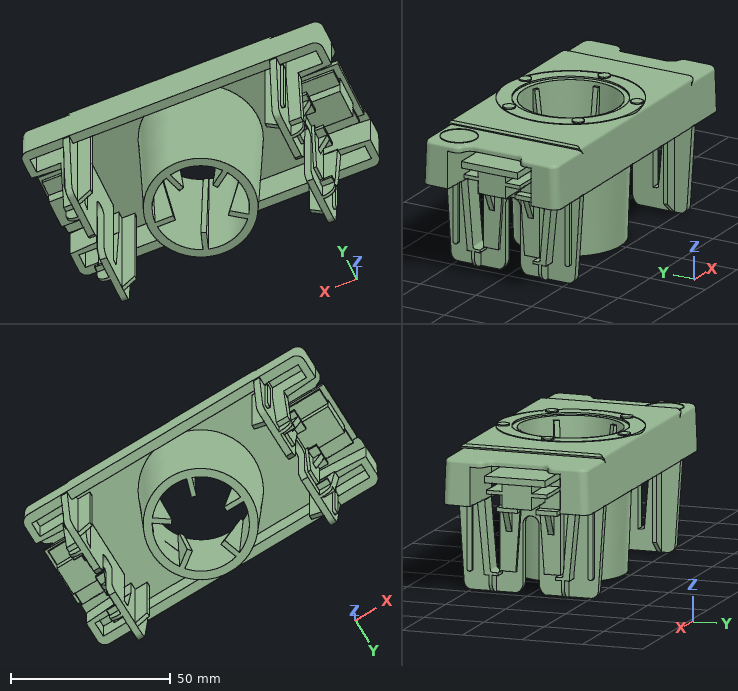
import cadquery as cq

length = 103.0
base_width = 49.0
roof_width = 47.8
roof_top = 14.9
ceiling = 12.7
wall = 2.5
corner_radius = 2.9
roof_fillet = 1.3
foot_z = -30.0

notch_depth = 3.9
notch_half_floor = 9.6
notch_half_mouth = 10.9
notch_radius = 2.7

panel_top = 16.4
panel_tip_z = 15.6
panel_root_z = 13.4
panel_half_top = 35.5
panel_half_tip = 35.9
panel_half_root = 34.2
panel_fillet = 1.6

ring_diameter = 47.0
ring_top = 16.6
button_diameter = 4.0
button_top = 17.0
button_circle_radius = 21.2
fin_count = 5
label_diameter = 12.0
label_depth = 0.2
label_x = -42.8
label_y = 15.9

tube_radius_root = 19.2
tube_radius_foot = 18.0
rim_diameter = 37.0
rim_depth = 0.5
bore_radius_top = 16.8
bore_radius_foot = 15.2
fin_thickness = 1.8
fin_top_radius = 15.8
fin_foot_radius = 9.1
fin_top_z = 14.7

leg_outer_x = -40.7
plate_outer_x = -36.6
plate_inner_x = -34.3
leg_inner_x = -29.9
plate_half_root = 24.2
plate_half_foot = 22.2
plate_corner_radius = 2.6
stiffener_y = 16.5
stiffener_thickness = 1.3
stiffener_chamfer_z = -26.0
bead_height = 1.0
bead_y = 20.2
bead_width = 1.8
bead_foot_z = -24.0
toe_y = 12.0
toe_thickness = 1.0
toe_radius = 3.8

cheek_half_root = 16.5
cheek_half_foot = 14.2
cheek_inner_half = 9.6
cheek_taper_end_z = -23.3
cheek_foot_z = -24.0
opening_half_mouth = 15.0
opening_half_root = 14.0
opening_half_foot = 12.0
opening_foot_z = -23.1
opening_fillet = 0.9

tongue_half = 10.1
grip_top = 10.2
grip_thickness = 2.2
block_half = 4.9
block_x = -50.0
lug_top = 5.4
lug_thickness = 1.2
shelf_top = -2.0
shelf_thickness = 1.5
gusset_y = 7.0
gusset_width = 1.9
gusset_foot_z = -10.2
pad_height = 1.0
pad_inner_root = 3.1
pad_inner_foot = 4.7
arch_half = 2.7
arch_top = -4.9
arch_flare_half = 4.6
arch_flare_z = -26.7
arch_flare_radius = 3.8


def block(x0, x1, y0, y1, z0, z1):
    """Axis-aligned box between two opposite corners."""
    return cq.Workplane("XY").box(x1 - x0, y1 - y0, z1 - z0, centered=False).translate((x0, y0, z0))


def across_x(points, x0, x1):
    """Prism of a (y, z) outline between two X positions."""
    return cq.Workplane("YZ").workplane(offset=x0).polyline(points).close().extrude(x1 - x0)


def across_y(points, y_mid, thickness):
    """Prism of an (x, z) outline, centred on a Y position."""
    prism = cq.Workplane("XZ").polyline(points).close().extrude(thickness / 2, both=True)
    return prism.translate((0, y_mid, 0))


def both_sides(solid):
    """The solid together with its mirror image in Y."""
    return solid.union(solid.mirror("XZ"))


def half_width(z):
    """Half the distance between the leaning long sides at height z."""
    return base_width / 2 - (base_width - roof_width) / 2 * z / roof_top


def leaning_prism(half_length, z0, z1):
    """Prism along X between the leaning long sides, from height z0 up to z1."""
    profile = [
        (-half_width(z0), z0),
        (-half_width(z1), z1),
        (half_width(z1), z1),
        (half_width(z0), z0),
    ]
    return across_x(profile, -half_length, half_length)


def make_notch():
    """Grip notch through the roof at the -X end."""
    outer_x = -length / 2
    floor_x = outer_x + notch_depth
    outline = [
        (outer_x, -notch_half_mouth),
        (floor_x, -notch_half_floor),
        (floor_x, notch_half_floor),
        (outer_x, notch_half_mouth),
    ]
    return cq.Workplane("XY").polyline(outline).close().extrude(roof_top)


def make_housing():
    """Hollow box with drafted sides, raised panel and label recess."""
    shell = leaning_prism(length / 2, 0, roof_top)
    upright_edges = shell.edges("(not |X) and (not |Y)")
    shell = upright_edges.fillet(corner_radius)
    notch = make_notch()
    shell = shell.cut(notch).cut(notch.mirror("YZ"))
    shell = shell.edges("|Z").fillet(notch_radius)
    shell = shell.faces(">Z").edges().fillet(roof_fillet)
    panel_side = [
        (panel_half_root, panel_root_z),
        (panel_half_tip, panel_tip_z),
        (panel_half_top, panel_top),
    ]
    panel_profile = panel_side + [(-x, z) for x, z in reversed(panel_side)]
    panel = across_y(panel_profile, 0, base_width)
    panel = panel.intersect(leaning_prism(panel_half_tip, panel_root_z, panel_top))
    panel = panel.faces(">Z").edges("|X").fillet(panel_fillet)
    label = cq.Workplane("XY").workplane(offset=roof_top - label_depth)
    label = label.center(label_x, label_y).circle(label_diameter / 2).extrude(label_depth)
    half_x = length / 2 - wall
    half_y = roof_width / 2 - wall
    cavity = block(-half_x, half_x, -half_y, half_y, 0, ceiling)
    return shell.union(panel).cut(label).cut(cavity)


def make_leg():
    """Leg plate with cheeks and ribs at the -X end, before the latch opening is cut."""
    plate = across_x(
        [
            (-plate_half_root, 0),
            (-plate_half_foot, foot_z),
            (plate_half_foot, foot_z),
            (plate_half_root, 0),
        ],
        plate_outer_x,
        plate_inner_x,
    )
    plate = plate.faces("<Z").edges("|X").fillet(plate_corner_radius)
    half_y = base_width / 2 - wall
    plate = plate.union(block(plate_outer_x, plate_inner_x, -half_y, half_y, 0, ceiling))

    hanging_cheek = across_x(
        [
            (cheek_inner_half, 0),
            (cheek_half_root, 0),
            (cheek_half_foot, cheek_taper_end_z),
            (cheek_half_foot, cheek_foot_z),
            (cheek_inner_half, cheek_foot_z),
        ],
        leg_outer_x,
        plate_outer_x,
    )
    housed_cheek = block(wall - length / 2, plate_outer_x, cheek_inner_half, cheek_half_root, 0, ceiling)

    toe_side_y = toe_y - toe_thickness / 2
    toe = block(
        leg_outer_x, plate_outer_x, toe_side_y, toe_side_y + toe_thickness, foot_z, cheek_foot_z
    )
    toe = toe.edges("|Y and <X and <Z").fillet(toe_radius)

    bead_round_z = bead_foot_z + bead_width / 2
    bead_side_y = bead_y - bead_width / 2
    bead_x = plate_outer_x - bead_height
    bead = block(bead_x, plate_outer_x, bead_side_y, bead_side_y + bead_width, bead_round_z, 0)
    bead_end = cq.Workplane("YZ").workplane(offset=bead_x)
    bead_end = bead_end.center(bead_y, bead_round_z).circle(bead_width / 2).extrude(bead_height)

    stiffener = across_y(
        [
            (plate_inner_x, ceiling),
            (plate_inner_x, foot_z),
            (leg_inner_x, stiffener_chamfer_z),
            (leg_inner_x, ceiling),
        ],
        stiffener_y + stiffener_thickness / 2,
        stiffener_thickness,
    )
    side_parts = hanging_cheek.union(housed_cheek).union(toe).union(bead).union(bead_end).union(stiffener)
    return plate.union(both_sides(side_parts))


def make_opening():
    """Space around the latch: flared inside the housing, tapered between the legs."""
    mouth_x = -length / 2
    housed = (
        cq.Workplane("XY")
        .polyline(
            [
                (mouth_x, -opening_half_mouth),
                (plate_inner_x, -opening_half_root),
                (plate_inner_x, opening_half_root),
                (mouth_x, opening_half_mouth),
            ]
        )
        .close()
        .extrude(ceiling)
    )
    hanging = across_x(
        [
            (-opening_half_root, 0),
            (-opening_half_foot, opening_foot_z),
            (opening_half_foot, opening_foot_z),
            (opening_half_root, 0),
        ],
        mouth_x,
        plate_inner_x,
    )
    hanging = hanging.faces("<Z").edges("|X").fillet(opening_fillet)
    return housed.union(hanging)


def make_latch():
    """Springy tongue with finger grip, stop lugs and gussets."""
    pad_x = plate_outer_x - pad_height
    tongue = block(plate_outer_x, plate_inner_x, -tongue_half, tongue_half, opening_foot_z, grip_top)
    grip = block(-length / 2, plate_inner_x, -tongue_half, tongue_half, grip_top - grip_thickness, grip_top)
    push_block = block(block_x, plate_outer_x, -block_half, block_half, 0, grip_top)
    lugs = block(block_x, plate_outer_x, -tongue_half, tongue_half, lug_top - lug_thickness, lug_top)

    pad = across_x(
        [
            (pad_inner_root, 0),
            (pad_inner_root, grip_top),
            (tongue_half, grip_top),
            (tongue_half, opening_foot_z),
            (pad_inner_foot, opening_foot_z),
        ],
        pad_x,
        plate_outer_x,
    )
    shelf_foot = shelf_top - shelf_thickness
    shelf = block(leg_outer_x, pad_x, pad_inner_root, tongue_half, shelf_foot, shelf_top)
    gusset = across_y(
        [(leg_outer_x, shelf_foot), (pad_x, shelf_foot), (pad_x, gusset_foot_z)], gusset_y, gusset_width
    )
    latch = tongue.union(grip).union(push_block).union(lugs)
    return latch.union(both_sides(pad.union(shelf).union(gusset)))


def make_arch():
    """Round-topped slot up the middle of the leg, flared at the foot."""
    spring_z = arch_top - arch_half
    return (
        cq.Workplane("YZ")
        .workplane(offset=leg_outer_x)
        .moveTo(-arch_flare_half, foot_z)
        .radiusArc((-arch_half, arch_flare_z), -arch_flare_radius)
        .lineTo(-arch_half, spring_z)
        .threePointArc((0, arch_top), (arch_half, spring_z))
        .lineTo(arch_half, arch_flare_z)
        .radiusArc((arch_flare_half, foot_z), -arch_flare_radius)
        .close()
        .extrude(plate_inner_x - leg_outer_x)
    )


def make_tube():
    """Tapered outside of the socket, with its ring and buttons on top."""
    slope = (tube_radius_foot - tube_radius_root) / foot_z
    ceiling_radius = tube_radius_root + slope * ceiling
    profile = [(0, foot_z), (tube_radius_foot, foot_z), (ceiling_radius, ceiling), (0, ceiling)]
    tube = cq.Workplane("XZ").polyline(profile).close().revolve(360, (0, 0), (0, 1))
    ring = cq.Workplane("XY").workplane(offset=roof_top)
    ring = ring.circle(ring_diameter / 2).extrude(ring_top - roof_top)
    buttons = (
        cq.Workplane("XY")
        .workplane(offset=ring_top)
        .polarArray(button_circle_radius, 0, 360, fin_count)
        .circle(button_diameter / 2)
        .extrude(button_top - ring_top)
    )
    return tube.union(ring).union(buttons)


def make_bore():
    """Tapered bore with a shallow step at the rim."""
    step_z = ring_top - rim_depth
    profile = [
        (0, foot_z),
        (bore_radius_foot, foot_z),
        (bore_radius_top, step_z),
        (rim_diameter / 2, step_z),
        (rim_diameter / 2, ring_top),
        (0, ring_top),
    ]
    return cq.Workplane("XZ").polyline(profile).close().revolve(360, (0, 0), (0, 1))


def make_fins():
    """Centring fins that reach further inward towards the foot."""
    root_top = (bore_radius_top + tube_radius_foot) / 2
    root_foot = (bore_radius_foot + tube_radius_foot) / 2
    profile = [
        (root_foot, foot_z),
        (root_top, fin_top_z),
        (fin_top_radius, fin_top_z),
        (fin_foot_radius, foot_z),
    ]
    fin = across_y(profile, 0, fin_thickness)
    fins = fin
    for index in range(1, fin_count):
        fins = fins.union(fin.rotate((0, 0, 0), (0, 0, 1), index * 360 / fin_count))
    return fins


leg = make_leg()
opening = make_opening()
latch = make_latch()
arch = make_arch()

body = make_housing().union(leg).union(leg.mirror("YZ"))
body = body.cut(opening).cut(opening.mirror("YZ"))
body = body.union(latch).union(latch.mirror("YZ"))
body = body.cut(arch).cut(arch.mirror("YZ"))

result = body.union(make_tube()).cut(make_bore()).union(make_fins())